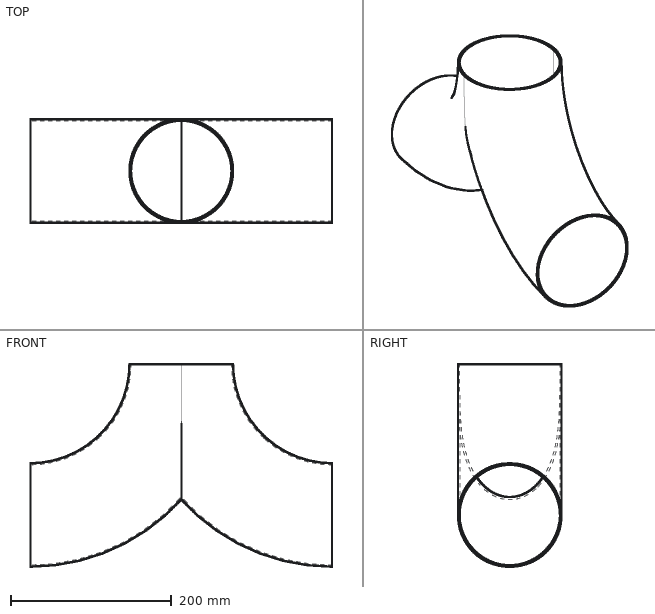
import cadquery as cq

span = 375.0
outer_diameter = 129.0
wall = 2.2

bend_radius = span / 2
outer_radius = outer_diameter / 2
inner_radius = outer_radius - wall


def trimmed_elbow(radius):
    """Solid 90 degree bend from the top opening to the +X opening, cut off at the plane X = 0."""
    elbow = (
        cq.Workplane("XY")
        .circle(radius)
        .revolve(90, (bend_radius, 0, 0), (bend_radius, -1, 0))
    )
    box_side = 4 * bend_radius
    positive_half = cq.Workplane("XY").box(box_side, box_side, box_side, centered=(False, True, True))
    return elbow.intersect(positive_half)


half = trimmed_elbow(outer_radius).cut(trimmed_elbow(inner_radius))

result = half.union(half.mirror("YZ"))